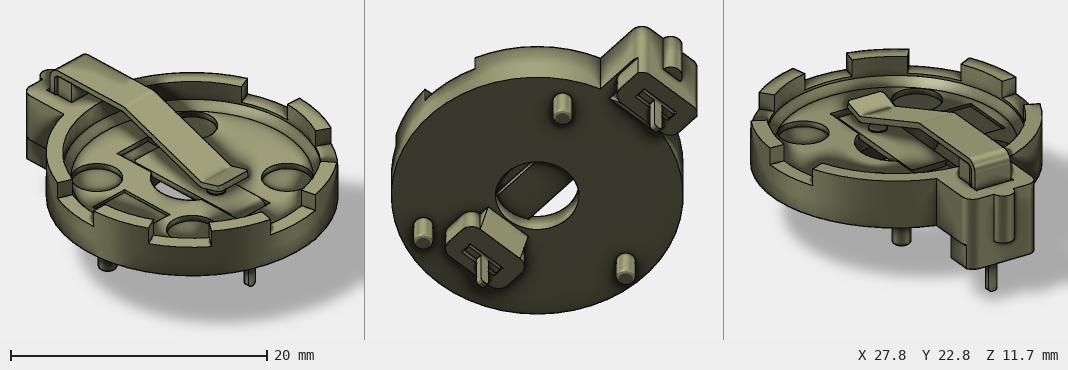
import cadquery as cq
import math


body_radius = 11.39
body_height = 4.1
floor_height = 1.75
cone_top_height = 2.45
cell_radius = 20.2 / 2
cone_bottom_radius = 9.47
center_hole_diameter = 6.5
notch_bottom = 2.67
notch_angle = 25.0
notch_directions = (-100, -50, 0, 50, 100)
dish_diameter = 4.0
dish_spacing = 10.5
dish_depth = 0.5
label_width = 5.0
label_height = 3.5
label_y = -6.72
label_depth = 0.25

corner_radius = 1.0
tower_left = -15.6
tower_width = 6.47
rib_diameter = 1.8
overall_length = 27.77
rib_x = body_radius - overall_length + rib_diameter / 2
foot_depth = 2.03
foot_width = 6.22
left_foot_right = -12.08
left_gusset_run = 1.42
right_foot_left = 4.3
right_foot_right = 7.83
right_gusset_run = 0.95
gusset_width = foot_width - 2 * corner_radius

peg_diameter = 1.5
peg_length = 2.35
peg_tip_radius = 0.33
peg_circle_radius = 9.33
peg_directions = (-90, 30, 150)

strip_thickness = 0.5
strip_width = 3.3
bend_radius = 1.0
pin_width = 0.78
pin_bottom = -5.3
pin_tip_radius = 0.33
strip_corner_radius = 0.33
slot_width = 3.42
slot_length = 1.03
slot_clearance = 0.28

spring_left = -14.02
spring_top = 6.4
spring_bend_x = -5.85
spring_slope = 20.0
tip_slope = 15.0
spring_low_x = 2.67
spring_tip_x = 4.6

support_left = -13.15
support_right = -11.65
support_width = 3.25
support_corner_radius = 0.25

contact_left = -4.85
contact_right = 6.6
contact_top = 1.8
contact_button_diameter = 1.5
contact_button_height = 0.1
recess_left = -6.55
recess_floor = contact_top - strip_thickness


def block(x_min, x_max, width, z_min, z_max):
    """Box between the given X and Z limits, centred on Y = 0."""
    return (
        cq.Workplane("XY", origin=((x_min + x_max) / 2, 0, z_min))
        .rect(x_max - x_min, width)
        .extrude(z_max - z_min)
    )


def disc(x, y, diameter, z_min, z_max):
    return cq.Workplane("XY", origin=(x, y, z_min)).circle(diameter / 2).extrude(z_max - z_min)


def plate_xz(points, width):
    """Outline of (x, z) points, extruded symmetrically about Y = 0."""
    return cq.Workplane("XZ").polyline(points).close().extrude(width / 2, both=True)


def polar(radius, degrees):
    angle = math.radians(degrees)
    return radius * math.cos(angle), radius * math.sin(angle)


def bent_strip(path):
    """Strip lying to the right of a path of (x, z) points, with every bend rounded."""
    headings = [math.atan2(z2 - z1, x2 - x1) for (x1, z1), (x2, z2) in zip(path, path[1:])]
    before = headings[:1] + headings
    after = headings + headings[-1:]
    far_side = []
    for (x, z), a, b in zip(path, before, after):
        miter = strip_thickness / math.cos((b - a) / 2)
        middle = (a + b) / 2
        far_side.append((x + miter * math.sin(middle), z - miter * math.cos(middle)))
    strip = plate_xz(path + far_side[::-1], strip_width)
    inner_radius = bend_radius - strip_thickness
    for i in range(1, len(path) - 1):
        turns_right = after[i] < before[i]
        outer, inner = (path[i], far_side[i]) if turns_right else (far_side[i], path[i])
        for (x, z), radius in ((outer, bend_radius), (inner, inner_radius)):
            strip = strip.edges(cq.NearestToPointSelector((x, 0, z))).fillet(radius)
    return strip


def pin(x_min):
    """Solder pin below a foot, with a rounded tip."""
    return (
        block(x_min, x_min + strip_thickness, pin_width, pin_bottom, -foot_depth)
        .edges("|X and <Z")
        .fillet(pin_tip_radius)
    )


def make_body():
    body = disc(0, 0, 2 * body_radius, 0, body_height)
    tower = block(tower_left, -cell_radius, tower_width, -foot_depth, body_height)
    tower = tower.edges("|Z and <X").fillet(corner_radius)
    tower_foot = block(tower_left, left_foot_right, foot_width, -foot_depth, 0)
    tower_foot = tower_foot.edges("|Z and >X").fillet(corner_radius)
    lower_tower = tower.intersect(tower_foot)
    upper_tower = tower.intersect(block(tower_left, 0, tower_width, 0, body_height))
    rib = disc(rib_x, 0, rib_diameter, 0, body_height)
    right_foot = block(right_foot_left, right_foot_right, foot_width, -foot_depth, 0)
    right_foot = right_foot.edges("|Z").fillet(corner_radius)
    body = body.union(upper_tower).union(lower_tower).union(rib).union(right_foot)
    for edge_x, run in ((left_foot_right, left_gusset_run), (right_foot_left, -right_gusset_run)):
        inside_x = edge_x - math.copysign(corner_radius, run)
        outline = [(inside_x, 0), (edge_x + run, 0), (edge_x, -foot_depth), (inside_x, -foot_depth)]
        body = body.union(plate_xz(outline, gusset_width))
    return body


def make_cell_seat():
    """Space for the cell: straight above, conical down to the floor."""
    return (
        cq.Workplane("XZ")
        .polyline(
            [
                (0, floor_height),
                (cone_bottom_radius, floor_height),
                (cell_radius, cone_top_height),
                (cell_radius, body_height),
                (0, body_height),
            ]
        )
        .close()
        .revolve(360, (0, 0, 0), (0, 1, 0))
    )


def make_notch(direction):
    """Wedge that removes one stretch of the rim."""
    reach = 2 * body_radius
    start = polar(reach, direction - notch_angle / 2)
    end = polar(reach, direction + notch_angle / 2)
    wedge = cq.Workplane("XY", origin=(0, 0, notch_bottom)).polyline([(0, 0), start, end]).close()
    return wedge.extrude(body_height - notch_bottom)


def make_peg(direction):
    x, y = polar(peg_circle_radius, direction)
    return disc(x, y, peg_diameter, -peg_length, 0).faces("<Z").edges().fillet(peg_tip_radius)


def make_spring():
    """Upper contact: leg, flat arm, slope down to the cell and upturned tip."""
    slope = math.tan(math.radians(spring_slope))
    low_z = spring_top - (spring_low_x - spring_bend_x) * slope
    tip_z = low_z + (spring_tip_x - spring_low_x) * math.tan(math.radians(tip_slope))
    spring = bent_strip(
        [
            (spring_left, -foot_depth),
            (spring_left, spring_top),
            (spring_bend_x, spring_top),
            (spring_low_x, low_z),
            (spring_tip_x, tip_z),
        ]
    )
    tip_corners = spring.faces(">X").edges("not |Y")
    return tip_corners.fillet(strip_corner_radius).union(pin(spring_left))


def make_support():
    """Block on the tower that carries the arm of the spring."""
    support = block(support_left, support_right, support_width, floor_height, spring_top - strip_thickness)
    return support.edges("|Y and <X and >Z").fillet(support_corner_radius)


def make_contact():
    """Lower contact: plate in the floor with a button under the spring, bent down into a leg."""
    contact = bent_strip(
        [
            (contact_left, contact_top),
            (contact_right, contact_top),
            (contact_right, -foot_depth),
        ]
    )
    contact = contact.faces("<X").edges("not |Y").fillet(strip_corner_radius)
    button_top = contact_top + contact_button_height
    button = disc(spring_low_x, 0, contact_button_diameter, contact_top, button_top)
    return contact.union(button).union(pin(contact_right - strip_thickness))


def make_floor_recesses():
    """Round dishes, rectangular label recess and centre hole in the floor."""
    recesses = disc(0, 0, center_hole_diameter, 0, floor_height)
    for x_side in (-1, 1):
        for y_side in (-1, 1):
            dish_x = x_side * dish_spacing / 2
            dish_y = y_side * dish_spacing / 2
            dish = disc(dish_x, dish_y, dish_diameter, floor_height - dish_depth, floor_height)
            recesses = recesses.union(dish)
    label_recess = (
        cq.Workplane("XY", origin=(0, label_y, floor_height - label_depth))
        .rect(label_width, label_height)
        .extrude(label_depth)
    )
    return recesses.union(label_recess)


def make_strip_slots():
    """Through slots for both legs and the shallow recess for the lower contact."""
    left_end = spring_left - slot_clearance
    right_end = contact_right + slot_clearance
    left_slot = block(left_end, left_end + slot_length, slot_width, -foot_depth, body_height)
    right_slot = block(right_end - slot_length, right_end, slot_width, -foot_depth, floor_height)
    recess = block(recess_left, right_end, slot_width, recess_floor, floor_height)
    return left_slot.union(right_slot).union(recess)


result = make_body().cut(make_cell_seat()).cut(make_floor_recesses()).cut(make_strip_slots())
for direction in notch_directions:
    result = result.cut(make_notch(direction))
for direction in peg_directions:
    result = result.union(make_peg(direction))
result = result.union(make_support()).union(make_spring()).union(make_contact())